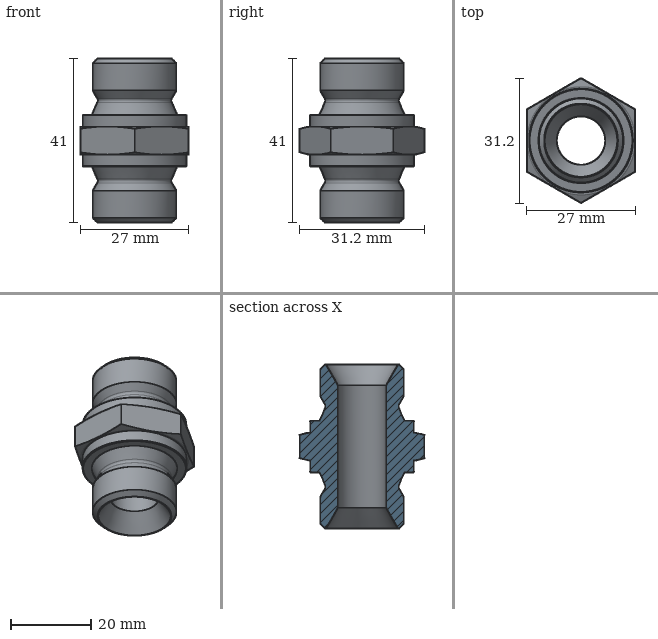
import cadquery as cq
import math

half_length = 20.5
hex_across_flats = 27.0
hex_half_height = 3.5
hex_chamfer_angle = 15.0

collar_radius = 26.0 / 2
collar_top = 6.48
collar_chamfer = 0.2

thread_radius = 20.95 / 2
thread_chamfer = 1.25
thread_bottom = 12.5

groove_radius = 9.2
groove_blend_radius = 9.35
groove_top = 10.55
groove_bottom = 9.5
groove_middle = (groove_top + groove_bottom) / 2
seat_radius = 10.65

bore_radius = 12.0 / 2
mouth_radius = 9.0
mouth_half_angle = 30.0
mouth_depth = (mouth_radius - bore_radius) / math.tan(math.radians(mouth_half_angle))


def make_hexagon():
    """Hexagon with corners on the Y axis and conically chamfered ends."""
    flat_radius = hex_across_flats / 2
    corner_radius = flat_radius / math.cos(math.radians(30))
    corner_drop = (corner_radius - flat_radius) * math.tan(math.radians(hex_chamfer_angle))
    hexagon = (
        cq.Workplane("XY")
        .polygon(6, 2 * corner_radius)
        .extrude(hex_half_height, both=True)
        .rotate((0, 0, 0), (0, 0, 1), 30)
    )
    chamfer_envelope = (
        cq.Workplane("XZ")
        .moveTo(0, -hex_half_height)
        .lineTo(flat_radius, -hex_half_height)
        .lineTo(corner_radius, corner_drop - hex_half_height)
        .lineTo(corner_radius, hex_half_height - corner_drop)
        .lineTo(flat_radius, hex_half_height)
        .lineTo(0, hex_half_height)
        .close()
        .revolve(360, (0, 0, 0), (0, 1, 0))
    )
    return hexagon.intersect(chamfer_envelope)


def make_upper_end():
    """Solid of revolution from the mid plane to the top: collar, groove and thread."""
    return (
        cq.Workplane("XZ")
        .lineTo(collar_radius, 0)
        .lineTo(collar_radius, collar_top - collar_chamfer)
        .lineTo(collar_radius - collar_chamfer, collar_top)
        .lineTo(seat_radius, collar_top)
        .lineTo(groove_blend_radius, groove_bottom)
        .threePointArc((groove_radius, groove_middle), (groove_blend_radius, groove_top))
        .lineTo(thread_radius, thread_bottom)
        .lineTo(thread_radius, half_length - thread_chamfer)
        .lineTo(thread_radius - thread_chamfer, half_length)
        .lineTo(0, half_length)
        .close()
        .revolve(360, (0, 0, 0), (0, 1, 0))
    )


def make_bore():
    """Through bore widening into a cone at both ends."""
    return (
        cq.Workplane("XZ")
        .moveTo(0, -half_length)
        .lineTo(mouth_radius, -half_length)
        .lineTo(bore_radius, mouth_depth - half_length)
        .lineTo(bore_radius, half_length - mouth_depth)
        .lineTo(mouth_radius, half_length)
        .lineTo(0, half_length)
        .close()
        .revolve(360, (0, 0, 0), (0, 1, 0))
    )


upper_end = make_upper_end()
lower_end = upper_end.mirror("XY")
result = make_hexagon().union(upper_end).union(lower_end).cut(make_bore())